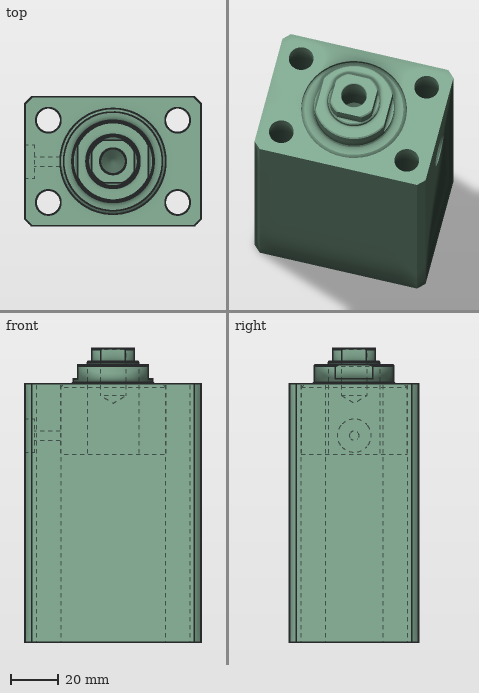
import cadquery as cq
import math

BLOCK_X = 75.0
BLOCK_Y = 55.0
BLOCK_Z = 110.0
CORNER_CHAMFER = 3.0
BOLT_HOLE_DIAMETER = 10.5
BOLT_SPACING_X = 55.0
BOLT_SPACING_Y = 35.0

PORT_DIAMETER = 14.2
PORT_DEPTH = 4.0
PORT_BELOW_TOP = 22.0
PORT_Z = BLOCK_Z - PORT_BELOW_TOP
PASSAGE_DIAMETER = 4.0

DISC_RADIUS = 22.5
DISC_DEPTH = 30.0
DISC_CHAMFER = 1.5
DISC_BOTTOM_Z = BLOCK_Z - DISC_DEPTH
COLLAR_RADIUS = 17.0
COLLAR_HEIGHT = 8.0
COLLAR_CHAMFER = 0.5
COLLAR_FOOT_CHAMFER = 0.5
COLLAR_TOP_Z = BLOCK_Z + COLLAR_HEIGHT
COLLAR_ACROSS_FLATS = 30.0
COLLAR_FLAT_START = 2.0

TOTAL_HEIGHT = 125.0
SHANK_RADIUS = 11.0
HEAD_RADIUS = 10.5
HEAD_ACROSS_FLATS = 18.1
HEAD_HEIGHT = 5.5
HEAD_CHAMFER = 0.5
SHOULDER_Z = TOTAL_HEIGHT - HEAD_HEIGHT
SHOULDER_TAPER = SHANK_RADIUS - HEAD_RADIUS
DRILL_RADIUS = 5.4
DRILL_DEPTH = 20.0
DRILL_TIP_ANGLE = 118.0
DRILL_TIP_LENGTH = DRILL_RADIUS / math.tan(math.radians(DRILL_TIP_ANGLE / 2))
DRILL_CHAMFER = 0.2

BORE_CHAMFER = 0.5


def revolved(profile):
    """Turn (radius, z) points about Z; the profile starts on the -X side."""
    points = [(-radius, z) for radius, z in profile]
    return cq.Workplane("XZ").polyline(points).close().revolve(360, (0, 0, 0), (0, 1, 0))


def cylinder(radius, bottom_z, top_z):
    """A plain cylinder on the Z axis."""
    return cq.Workplane("XY").workplane(offset=bottom_z).circle(radius).extrude(top_z - bottom_z)


def flats_envelope(size_x, size_y, bottom_z, top_z):
    """A box on the Z axis whose sides are the wrench flats."""
    return cq.Workplane("XY").workplane(offset=bottom_z).rect(size_x, size_y).extrude(top_z - bottom_z)


def side_hole(diameter, start_x, end_x):
    """A hole along X at the height of the port."""
    plane = cq.Workplane("YZ", origin=(start_x, 0, PORT_Z))
    return plane.circle(diameter / 2).extrude(end_x - start_x)


def make_housing():
    """Chamfered block with four bolt holes, the bushing's bore and the side port."""
    block = cq.Workplane("XY").box(BLOCK_X, BLOCK_Y, BLOCK_Z, centered=(True, True, False))
    block = block.edges("|Z").chamfer(CORNER_CHAMFER)
    bolt_holes = (
        cq.Workplane("XY")
        .rarray(BOLT_SPACING_X, BOLT_SPACING_Y, 2, 2)
        .circle(BOLT_HOLE_DIAMETER / 2)
        .extrude(BLOCK_Z)
    )
    bore = cylinder(DISC_RADIUS, DISC_BOTTOM_Z, BLOCK_Z)
    port = side_hole(PORT_DIAMETER, -BLOCK_X / 2, -BLOCK_X / 2 + PORT_DEPTH)
    passage = side_hole(PASSAGE_DIAMETER, -BLOCK_X / 2, 0)
    return block.cut(bolt_holes).cut(bore).cut(port).cut(passage)


def make_bushing():
    """Sunk disc and wrench collar, bored for the rod."""
    body = revolved([
        (SHANK_RADIUS, DISC_BOTTOM_Z),
        (DISC_RADIUS, DISC_BOTTOM_Z),
        (DISC_RADIUS, BLOCK_Z - DISC_CHAMFER),
        (DISC_RADIUS - DISC_CHAMFER, BLOCK_Z),
        (COLLAR_RADIUS + COLLAR_FOOT_CHAMFER, BLOCK_Z),
        (COLLAR_RADIUS, BLOCK_Z + COLLAR_FOOT_CHAMFER),
        (COLLAR_RADIUS, COLLAR_TOP_Z - COLLAR_CHAMFER),
        (COLLAR_RADIUS - COLLAR_CHAMFER, COLLAR_TOP_Z),
        (SHANK_RADIUS + BORE_CHAMFER, COLLAR_TOP_Z),
        (SHANK_RADIUS, COLLAR_TOP_Z - BORE_CHAMFER),
    ])
    flat_bottom_z = BLOCK_Z + COLLAR_FLAT_START
    round_stock = cylinder(DISC_RADIUS, flat_bottom_z, COLLAR_TOP_Z)
    envelope = flats_envelope(COLLAR_ACROSS_FLATS, 2 * DISC_RADIUS, flat_bottom_z, COLLAR_TOP_Z)
    return body.cut(round_stock.cut(envelope))


def make_rod():
    """Shank with a chamfered shoulder, four wrench flats on the head and a drilled centre."""
    drill_bottom_z = TOTAL_HEIGHT - DRILL_DEPTH
    body = revolved([
        (0, DISC_BOTTOM_Z),
        (SHANK_RADIUS, DISC_BOTTOM_Z),
        (SHANK_RADIUS, SHOULDER_Z - SHOULDER_TAPER),
        (HEAD_RADIUS, SHOULDER_Z),
        (HEAD_RADIUS, TOTAL_HEIGHT - HEAD_CHAMFER),
        (HEAD_RADIUS - HEAD_CHAMFER, TOTAL_HEIGHT),
        (DRILL_RADIUS + DRILL_CHAMFER, TOTAL_HEIGHT),
        (DRILL_RADIUS, TOTAL_HEIGHT - DRILL_CHAMFER),
        (DRILL_RADIUS, drill_bottom_z),
        (0, drill_bottom_z - DRILL_TIP_LENGTH),
    ])
    round_stock = cylinder(SHANK_RADIUS, SHOULDER_Z, TOTAL_HEIGHT)
    envelope = flats_envelope(HEAD_ACROSS_FLATS, HEAD_ACROSS_FLATS, SHOULDER_Z, TOTAL_HEIGHT)
    return body.cut(round_stock.cut(envelope))


housing = make_housing()
bushing = make_bushing()
rod = make_rod()

result = cq.Compound.makeCompound([housing.val(), bushing.val(), rod.val()])